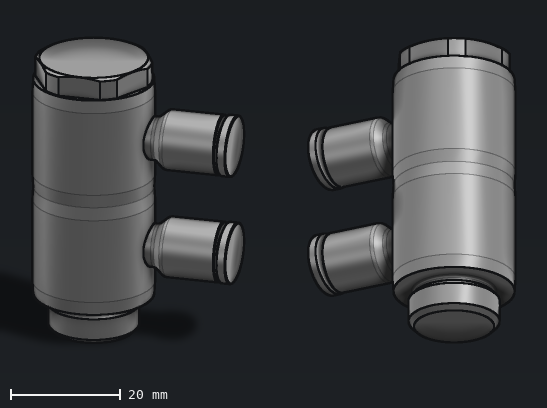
import cadquery as cq
import math

total_height = 53.0
shoulder_z = 7.0
module_count = 2
module_height = 21.0
hex_base_z = shoulder_z + module_count * module_height

thread_radius = 8.3
thread_chamfer = 1.0
thread_top_z = 5.05
undercut_radius = thread_radius - thread_chamfer
undercut_fillet = 0.5

body_diameter = 22.4
body_end_diameter = 22.1
body_radius = body_diameter / 2
body_end_radius = body_end_diameter / 2
taper_height = 2.5

hex_across_flats = 20.0
hex_corner_diameter = 21.45
hex_top_diameter = 19.8
hex_chamfer_height = 0.4
hex_turn_angle = 30

outlet_end_x = 26.65
neck_diameter = 8.0
neck_radius = neck_diameter / 2
neck_end_x = 12.2
barrel_diameter = 11.2
barrel_radius = barrel_diameter / 2
barrel_start_x = 14.05
barrel_end_x = 24.2
shoulder_fillet = 1.0
edge_chamfer = 0.15
sleeve_diameter = 7.45
collar_thickness = 1.65
collar_width_y = 13.1
collar_height_z = 11.0
collar_start_x = outlet_end_x - collar_thickness


def threaded_end():
    """Plain thread envelope with a relief groove rounded into the shoulder."""
    groove_z = thread_top_z + thread_chamfer
    fillet_start_z = shoulder_z - undercut_fillet
    arc_offset = undercut_fillet * (1 - math.sqrt(0.5))
    return (
        cq.Workplane("XZ")
        .lineTo(thread_radius - thread_chamfer, 0)
        .lineTo(thread_radius, thread_chamfer)
        .lineTo(thread_radius, thread_top_z)
        .lineTo(undercut_radius, groove_z)
        .lineTo(undercut_radius, fillet_start_z)
        .threePointArc(
            (undercut_radius + arc_offset, shoulder_z - arc_offset),
            (undercut_radius + undercut_fillet, shoulder_z),
        )
        .lineTo(0, shoulder_z)
        .close()
        .revolve(360, (0, 0), (0, 1))
    )


def banjo_module(base_z):
    """Cylindrical module that tapers slightly towards both ends."""
    top_z = base_z + module_height
    return (
        cq.Workplane("XZ")
        .moveTo(0, base_z)
        .lineTo(body_end_radius, base_z)
        .lineTo(body_radius, base_z + taper_height)
        .lineTo(body_radius, top_z - taper_height)
        .lineTo(body_end_radius, top_z)
        .lineTo(0, top_z)
        .close()
        .revolve(360, (0, 0), (0, 1))
    )


def hex_head():
    """Hexagon with flats facing +Y and -Y, turned round at its corners and chamfered on top."""
    hexagon = (
        cq.Workplane("XY", origin=(0, 0, hex_base_z))
        .polygon(6, hex_across_flats, circumscribed=True)
        .extrude(total_height - hex_base_z)
        .rotate((0, 0, 0), (0, 0, 1), hex_turn_angle)
    )
    turned_blank = (
        cq.Workplane("XZ")
        .moveTo(0, hex_base_z)
        .lineTo(hex_corner_diameter / 2, hex_base_z)
        .lineTo(hex_corner_diameter / 2, total_height - hex_chamfer_height)
        .lineTo(hex_top_diameter / 2, total_height)
        .lineTo(0, total_height)
        .close()
        .revolve(360, (0, 0), (0, 1))
    )
    return hexagon.intersect(turned_blank)


def outlet_barrel():
    """Neck, conical shoulder, barrel and release sleeve around the X axis."""
    barrel = (
        cq.Workplane("XY")
        .lineTo(0, neck_radius)
        .lineTo(neck_end_x, neck_radius)
        .lineTo(barrel_start_x, barrel_radius)
        .lineTo(barrel_end_x, barrel_radius)
        .lineTo(barrel_end_x, 0)
        .close()
        .revolve(360, (0, 0), (1, 0))
    )
    margin = 0.55
    cone_edges = cq.selectors.BoxSelector(
        (neck_end_x - margin, -body_radius, -body_radius),
        (barrel_start_x + margin, body_radius, body_radius),
        boundingbox=True,
    )
    barrel = barrel.edges("%CIRCLE").edges(cone_edges).fillet(shoulder_fillet)
    barrel = barrel.faces(">X").edges().chamfer(edge_chamfer)
    sleeve = cq.Workplane("YZ").circle(sleeve_diameter / 2).extrude(collar_start_x)
    return barrel.union(sleeve)


def release_collar():
    """Oval push collar at the open end of an outlet."""
    return (
        cq.Workplane("YZ", origin=(collar_start_x, 0, 0))
        .ellipse(collar_width_y / 2, collar_height_z / 2)
        .extrude(collar_thickness)
        .faces(">X")
        .edges()
        .chamfer(edge_chamfer)
    )


outlet = outlet_barrel().union(release_collar())

result = threaded_end().union(hex_head())
for index in range(module_count):
    module_base_z = shoulder_z + index * module_height
    outlet_z = module_base_z + module_height / 2
    result = result.union(banjo_module(module_base_z))
    result = result.union(outlet.translate((0, 0, outlet_z)))